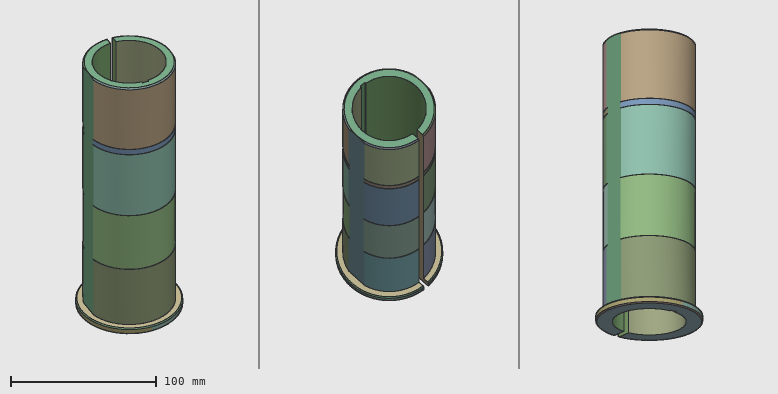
import cadquery as cq

total_height = 203.2
flange_diameter = 73.5
flange_thickness = 4.9
body_diameter = 63.8
bore_diameter = 50.8

top_chamfer = 1.0
flange_chamfer = 0.8

flat_spacing = 61.8

band_depth = 0.2
bands = [(51.2, 96.3), (147.5, 152.0)]

slit_width = 4.3
keyway_depth = 1.0


def cylinder(diameter, bottom, top):
    """Solid cylinder on the Z axis between two heights."""
    return cq.Workplane("XY").workplane(offset=bottom).circle(diameter / 2).extrude(top - bottom)


def make_body():
    """Chamfered cylinder with turned bands and two flats."""
    body = cylinder(body_diameter, 0, total_height).faces(">Z").edges().chamfer(top_chamfer)
    for bottom, top in bands:
        core = cylinder(body_diameter - 2 * band_depth, bottom, top)
        body = body.cut(cylinder(flange_diameter, bottom, top).cut(core))
    flats = cq.Workplane("XY").rect(flange_diameter, flat_spacing).extrude(total_height)
    return body.intersect(flats)


def make_flange():
    """Bottom collar with both outer edges chamfered."""
    return cylinder(flange_diameter, 0, flange_thickness).edges().chamfer(flange_chamfer)


def make_slit_and_keyway():
    """One full-height cutter: opens the -X wall and notches the +X side of the bore."""
    slit_end = -flange_diameter / 2
    keyway_floor = bore_diameter / 2 + keyway_depth
    return (
        cq.Workplane("XY")
        .center((slit_end + keyway_floor) / 2, 0)
        .rect(keyway_floor - slit_end, slit_width)
        .extrude(total_height)
    )


bore = cylinder(bore_diameter, 0, total_height)
result = make_body().union(make_flange()).cut(bore).cut(make_slit_and_keyway())